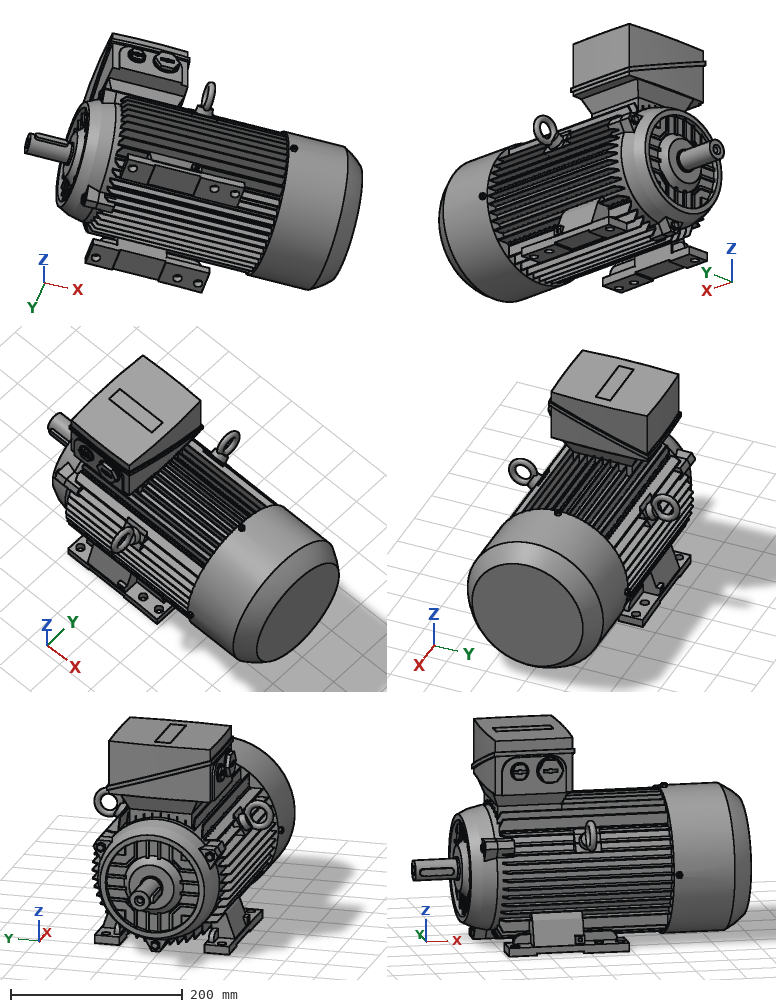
import cadquery as cq
import math


SHAFT_RADIUS = 12.0
SHAFT_LENGTH = 50.0
SHOULDER_RADIUS = 13.5
KEY_START = 4.5
KEY_LENGTH = 40.2
KEY_WIDTH = 8.0
KEY_TOP = 15.0
CENTRE_HOLE_RADIUS = 3.5
CENTRE_HOLE_DEPTH = 15.5
CENTRE_SINK_RADIUS = 5.8

BOSS_START = 52.2
BOSS_RADIUS = 27.0
SHIELD_START = 55.0
SHIELD_FRONT_RADIUS = 63.0
SHIELD_EDGE = 67.7
SHIELD_EDGE_RADIUS = 69.3
SHIELD_END = 84.5
RECESS_RADIUS = 56.5
RECESS_FLOOR = 61.5
BOSS_FOOT_RADIUS = 35.5
BOSS_FLARE_X = 57.3
BOSS_FLARE_RADIUS = 31.0
WEB_WIDTH = 3.0
WEB_HEIGHT = 2.5
WEB_START = 33.0
WEB_END = 58.0
INNER_WEB_OFFSET = 7.0
OUTER_WEB_OFFSET = 21.3
WEB_CORNER = 33.0
CORNER_BLOCK_INNER = 34.0
CORNER_BLOCK_OUTER = 45.5

LUG_ANGLES = (30, 150, 270)
LUG_START = 70.0
LUG_END = 104.5
LUG_ROOT_RADIUS = 64.0
LUG_TIP_RADIUS = 84.5
LUG_TIP_WIDTH = 9.3
LUG_FLANK_ANGLE = 30
LUG_SCREW_RADIUS = 76.2
LUG_SCREW_SIZE = 11.5
LUG_SCREW_HEIGHT = 3.5
LUG_SCREW_CHAMFER = 1.5

FRAME_RADIUS = 73.0
FRAME_END = 291.8
FIN_START = 91.0
FIN_RADIUS = 84.0
FIN_BEVEL_RADIUS = 77.0
FIN_BEVEL_END = 95.5
FIN_PITCH = 10.0
FINS_PER_HALF = 5
FIN_THICKNESS = 1.0

FOOT_BOTTOM = -89.8
FOOT_TOP = -79.7
FOOT_RELIEF = 2.5
FOOT_START = 96.8
FOOT_END = 239.0
FOOT_INNER = 51.5
FOOT_OUTER = 81.3
FOOT_OUTER_REAR = 82.0
FOOT_TAPER_START = 206.5
RELIEF_START = 129.5
RELIEF_END = 185.8
BLOCK_START = 126.5
BLOCK_END = 186.5
BLOCK_BASE_OUTER = 80.0
BLOCK_SHOULDER_OUTER = 69.5
BLOCK_SHOULDER_Z = -50.5
BLOCK_TOP_OUTER = 63.0
BLOCK_TOP_Z = -41.5
FOOT_RIB_START = 106.5
FOOT_RIB_END = 229.5
FOOT_RIB_INNER = 53.8
FOOT_RIB_WIDTH = 6.0
FOOT_RIB_HEIGHT = 11.0
FOOT_RIB_ROUND = 9.3
BOLT_HOLE_RADIUS = 5.0
BOLT_HOLE_X = (106.0, 206.0, 231.0)
BOLT_HOLE_Y = 70.0
EARTH_BOSS_LENGTH = 11.0
EARTH_BOSS_TOP = -69.0
EARTH_BOSS_BOTTOM = -78.0
EARTH_HOLE_RADIUS = 2.5
EARTH_HOLE_DEPTH = 2.0

EYE_ANGLES = (30, 150)
EYE_X = 192.0
EYE_PAD_LENGTH = 30.5
EYE_PAD_INNER = 64.2
EYE_PAD_OUTER = 79.0
EYE_PAD_BOTTOM = 30.0
EYE_PAD_TOP = 55.5
EYE_SEAT_RADIUS = 83.2
EYE_COLLAR_RADIUS = 10.5
EYE_COLLAR_TOP_RADIUS = 9.3
EYE_COLLAR_HEIGHT = 8.5
EYE_CENTRE_RADIUS = 104.5
EYE_RING_RADIUS = 14.0
EYE_WIRE_RADIUS = 4.0

COVER_RADIUS = 86.3
COVER_BEND_START = 364.0
COVER_END = 387.0
COVER_END_RADIUS = 70.5
COVER_SHOULDER_X = 376.0
COVER_SHOULDER_RADIUS = 79.5
COVER_SCREW_ANGLES = (0, 90, 180)
COVER_SCREW_X = 297.5
COVER_SCREW_SIZE = 7.7
COVER_SCREW_TOP = 90.5
COVER_SCREW_HOLE_RADIUS = 2.0
COVER_SCREW_CHAMFER = 1.0

SEAT_START = 91.7
SEAT_END = 168.0
SEAT_HALF_WIDTH = 37.5
SEAT_TOP = 80.5
NECK_START = 84.5
NECK_END = 177.0
NECK_HALF_WIDTH = 46.5
BOX_BOTTOM = 99.5
BOX_TOP = 164.0
BOX_CENTRE_X = 130.0
BOX_CENTRE_Y = -0.8
BOX_HALF_LENGTH = 48.5
BOX_HALF_WIDTH = 62.5
BOX_END_BULGE = 2.5
BOX_SIDE_BULGE = 1.0
LIP_OVERHANG = 2.0
LIP_HEIGHT = 5.0
LIP_LOW_Z = 104.0
LIP_HIGH_Z = 146.0
PAD_FACE_Y = -65.0
PAD_TOP = 144.0
PAD_CORNER_RADIUS = 17.5
PLUG_Z = 127.5
PLUG_FLANGE_HEIGHT = 1.5
PLUG_FLANGE_MARGIN = 0.5
PLUGS = ((112.2, 20.0, -69.3), (148.2, 30.0, -71.2))
SLOT_LENGTH = 16.3
SLOT_WIDTH = 3.0
SLOT_DEPTH = 1.0
SLOT_HUB_RADIUS = 2.7
PLATE_X = 130.0
PLATE_Y = -1.0
PLATE_LENGTH = 68.0
PLATE_WIDTH = 18.5
PLATE_DEPTH = 0.5


def revolved(profile):
    """Solid of revolution about the X axis from (x, radius) points."""
    return cq.Workplane("XY").polyline(profile).close().revolve(360, (0, 0, 0), (1, 0, 0))


def block(x_range, y_range, z_range):
    """Rectangular block between the given limits."""
    size = [high - low for low, high in (x_range, y_range, z_range)]
    corner = (x_range[0], y_range[0], z_range[0])
    return cq.Workplane("XY").box(*size, centered=False).translate(corner)


def across_x(start, end, outline):
    """Prism along X from a closed (y, z) outline."""
    return cq.Workplane("YZ").workplane(offset=start).polyline(outline).close().extrude(end - start)


def turned(shape, angle):
    """Shape turned about the motor axis, where the +Y direction is 0 degrees."""
    return shape.rotate((0, 0, 0), (1, 0, 0), angle)


def mirrored_pair(shape):
    """The shape together with its mirror image on the other side of Y = 0."""
    return shape.union(shape.mirror("XZ"))


def make_shaft():
    shaft = revolved([
        (0, 0),
        (0, SHAFT_RADIUS),
        (SHAFT_LENGTH, SHAFT_RADIUS),
        (SHAFT_LENGTH, SHOULDER_RADIUS),
        (SHIELD_END, SHOULDER_RADIUS),
        (SHIELD_END, 0),
    ])
    key = (
        cq.Workplane("XZ")
        .center(KEY_START + KEY_LENGTH / 2, 0)
        .slot2D(KEY_LENGTH, KEY_WIDTH)
        .extrude(KEY_TOP)
    )
    sink_depth = CENTRE_SINK_RADIUS - CENTRE_HOLE_RADIUS
    centre_hole = revolved([
        (0, 0),
        (0, CENTRE_SINK_RADIUS),
        (sink_depth, CENTRE_HOLE_RADIUS),
        (CENTRE_HOLE_DEPTH, CENTRE_HOLE_RADIUS),
        (CENTRE_HOLE_DEPTH, 0),
    ])
    return shaft.union(key).cut(centre_hole)


def make_lugs(start, end):
    """Three tapered lugs around the rim, from start to end along X."""
    tip = LUG_TIP_WIDTH / 2
    root = tip + (LUG_TIP_RADIUS - LUG_ROOT_RADIUS) * math.tan(math.radians(LUG_FLANK_ANGLE))
    lug = across_x(start, end, [
        (LUG_ROOT_RADIUS, -root),
        (LUG_TIP_RADIUS, -tip),
        (LUG_TIP_RADIUS, tip),
        (LUG_ROOT_RADIUS, root),
    ])
    lugs = cq.Workplane("XY")
    for angle in LUG_ANGLES:
        lugs = lugs.union(turned(lug, angle))
    return lugs


def make_lug_screws():
    head = (
        cq.Workplane("YZ", origin=(LUG_START, LUG_SCREW_RADIUS, 0))
        .polygon(6, LUG_SCREW_SIZE)
        .extrude(-LUG_SCREW_HEIGHT)
        .faces("<X")
        .chamfer(LUG_SCREW_CHAMFER)
    )
    heads = cq.Workplane("XY")
    for angle in LUG_ANGLES:
        heads = heads.union(turned(head, angle))
    return heads


def make_shield_webs():
    """Webs in the front recess: straight pairs and angled corner webs in each quarter."""
    floor = cq.Workplane("YZ", origin=(RECESS_FLOOR, 0, 0))
    inner_webs = (
        floor
        .pushPoints([
            ((WEB_START + WEB_END) / 2, INNER_WEB_OFFSET),
            ((WEB_START + WEB_END) / 2, -INNER_WEB_OFFSET),
        ])
        .rect(WEB_END - WEB_START, WEB_WIDTH)
        .extrude(-WEB_HEIGHT)
    )
    corner_web = (
        floor
        .moveTo(WEB_END, OUTER_WEB_OFFSET)
        .lineTo(WEB_CORNER, OUTER_WEB_OFFSET)
        .lineTo(OUTER_WEB_OFFSET, WEB_CORNER)
        .lineTo(OUTER_WEB_OFFSET, WEB_END)
        .offset2D(WEB_WIDTH / 2)
        .extrude(-WEB_HEIGHT)
    )
    corner_middle = (CORNER_BLOCK_INNER + CORNER_BLOCK_OUTER) / 2
    corner_size = CORNER_BLOCK_OUTER - CORNER_BLOCK_INNER
    corner_block = (
        floor
        .center(corner_middle, corner_middle)
        .rect(corner_size, corner_size)
        .extrude(-WEB_HEIGHT)
    )
    quarter = inner_webs.union(corner_web).union(corner_block)
    webs = cq.Workplane("XY")
    for angle in (0, 90, 180, 270):
        webs = webs.union(turned(quarter, angle))
    return webs


def make_shield():
    """Dished ring around a flared bearing boss, bored for the shaft shoulder."""
    shield = (
        cq.Workplane("XY")
        .moveTo(SHIELD_END, SHOULDER_RADIUS)
        .lineTo(BOSS_START, SHOULDER_RADIUS)
        .lineTo(BOSS_START, BOSS_RADIUS)
        .threePointArc((BOSS_FLARE_X, BOSS_FLARE_RADIUS), (RECESS_FLOOR, BOSS_FOOT_RADIUS))
        .lineTo(RECESS_FLOOR, RECESS_RADIUS)
        .lineTo(SHIELD_START, RECESS_RADIUS)
        .lineTo(SHIELD_START, SHIELD_FRONT_RADIUS)
        .lineTo(SHIELD_EDGE, SHIELD_EDGE_RADIUS)
        .lineTo(SHIELD_END, FRAME_RADIUS)
        .close()
        .revolve(360, (0, 0, 0), (1, 0, 0))
    )
    lugs = make_lugs(LUG_START, SHIELD_END)
    return shield.union(make_shield_webs()).union(lugs).union(make_lug_screws())


def make_fins():
    """Parallel cooling fins: upright above and below, level on both sides."""
    envelope = revolved([
        (FIN_START, 0),
        (FIN_START, FIN_BEVEL_RADIUS),
        (FIN_BEVEL_END, FIN_RADIUS),
        (FRAME_END, FIN_RADIUS),
        (FRAME_END, 0),
    ])
    plates = cq.Workplane("XY")
    for index in range(-FINS_PER_HALF, FINS_PER_HALF + 1):
        middle = index * FIN_PITCH
        fin = block(
            (FIN_START, FRAME_END),
            (middle - FIN_THICKNESS / 2, middle + FIN_THICKNESS / 2),
            (-FIN_RADIUS, FIN_RADIUS),
        )
        plates = plates.union(fin).union(turned(fin, 90))
    return plates.intersect(envelope)


def make_foot_rib():
    """Low stiffening rib with rounded ends along the inner side of a foot."""
    height = FOOT_RIB_HEIGHT + (FOOT_TOP - FOOT_BOTTOM) / 2
    rib = block(
        (FOOT_RIB_START, FOOT_RIB_END),
        (FOOT_RIB_INNER, FOOT_RIB_INNER + FOOT_RIB_WIDTH),
        (FOOT_TOP + FOOT_RIB_HEIGHT - height, FOOT_TOP + FOOT_RIB_HEIGHT),
    )
    return rib.faces(">Z").edges("|Y").fillet(FOOT_RIB_ROUND)


def make_foot():
    """The foot on the +Y side."""
    plate = (
        cq.Workplane("XY")
        .workplane(offset=FOOT_BOTTOM)
        .polyline([
            (FOOT_START, FOOT_INNER),
            (FOOT_END, FOOT_INNER),
            (FOOT_END, FOOT_OUTER_REAR),
            (FOOT_TAPER_START, FOOT_OUTER),
            (FOOT_START, FOOT_OUTER),
        ])
        .close()
        .extrude(FOOT_TOP - FOOT_BOTTOM)
    )
    relief = block(
        (RELIEF_START, RELIEF_END),
        (FOOT_INNER, FOOT_OUTER),
        (FOOT_BOTTOM, FOOT_BOTTOM + FOOT_RELIEF),
    )
    support = across_x(BLOCK_START, BLOCK_END, [
        (FOOT_INNER, FOOT_TOP),
        (BLOCK_BASE_OUTER, FOOT_TOP),
        (BLOCK_SHOULDER_OUTER, BLOCK_SHOULDER_Z),
        (BLOCK_TOP_OUTER, BLOCK_TOP_Z),
        (FOOT_INNER, BLOCK_TOP_Z),
    ])
    earth_boss = block(
        (BLOCK_END - EARTH_BOSS_LENGTH, BLOCK_END),
        (BLOCK_SHOULDER_OUTER, FOOT_OUTER),
        (EARTH_BOSS_BOTTOM, EARTH_BOSS_TOP),
    )
    earth_hole = (
        cq.Workplane("XZ", origin=(
            BLOCK_END - EARTH_BOSS_LENGTH / 2,
            FOOT_OUTER,
            (EARTH_BOSS_BOTTOM + EARTH_BOSS_TOP) / 2,
        ))
        .circle(EARTH_HOLE_RADIUS)
        .extrude(EARTH_HOLE_DEPTH)
    )
    bolt_holes = (
        cq.Workplane("XY")
        .workplane(offset=FOOT_BOTTOM)
        .pushPoints([(x, BOLT_HOLE_Y) for x in BOLT_HOLE_X])
        .circle(BOLT_HOLE_RADIUS)
        .extrude(FOOT_TOP - FOOT_BOTTOM)
    )
    foot = plate.cut(relief).cut(bolt_holes).union(support).union(make_foot_rib())
    return foot.union(earth_boss).cut(earth_hole)


def make_eye_pad():
    """Pad on the +Y side with a sloping seat for the lifting eye."""
    return across_x(EYE_X - EYE_PAD_LENGTH / 2, EYE_X + EYE_PAD_LENGTH / 2, [
        (EYE_PAD_INNER, EYE_PAD_BOTTOM),
        (EYE_PAD_OUTER, EYE_PAD_BOTTOM),
        (EYE_PAD_INNER, EYE_PAD_TOP),
    ])


def make_lifting_eye():
    """Collar and ring pointing along +Y, before turning into place."""
    collar = cq.Workplane(cq.Solid.makeCone(
        EYE_COLLAR_RADIUS,
        EYE_COLLAR_TOP_RADIUS,
        EYE_COLLAR_HEIGHT,
        cq.Vector(EYE_X, EYE_SEAT_RADIUS, 0),
        cq.Vector(0, 1, 0),
    ))
    ring = cq.Workplane(cq.Solid.makeTorus(
        EYE_RING_RADIUS,
        EYE_WIRE_RADIUS,
        cq.Vector(EYE_X, EYE_CENTRE_RADIUS, 0),
        cq.Vector(1, 0, 0),
    ))
    return collar.union(ring)


def make_frame():
    core = revolved([
        (SHIELD_END, 0),
        (SHIELD_END, FRAME_RADIUS),
        (FRAME_END, FRAME_RADIUS),
        (FRAME_END, 0),
    ])
    seat = block(
        (SEAT_START, SEAT_END),
        (-SEAT_HALF_WIDTH, SEAT_HALF_WIDTH),
        (0, SEAT_TOP),
    )
    frame = core.union(make_fins()).cut(make_box_neck()).union(seat)
    frame = frame.union(make_lugs(SHIELD_END, LUG_END)).union(mirrored_pair(make_foot()))
    frame = frame.union(mirrored_pair(make_eye_pad()))
    for angle in EYE_ANGLES:
        frame = frame.union(turned(make_lifting_eye(), angle))
    return frame


def make_cover():
    cover = (
        cq.Workplane("XY")
        .moveTo(FRAME_END, 0)
        .lineTo(FRAME_END, COVER_RADIUS)
        .lineTo(COVER_BEND_START, COVER_RADIUS)
        .threePointArc((COVER_SHOULDER_X, COVER_SHOULDER_RADIUS), (COVER_END, COVER_END_RADIUS))
        .lineTo(COVER_END, 0)
        .close()
        .revolve(360, (0, 0, 0), (1, 0, 0))
    )
    screw = (
        cq.Workplane("XZ", origin=(COVER_SCREW_X, COVER_SCREW_TOP, 0))
        .polygon(6, COVER_SCREW_SIZE)
        .circle(COVER_SCREW_HOLE_RADIUS)
        .extrude(2 * (COVER_SCREW_TOP - COVER_RADIUS))
        .faces(">Y")
        .edges("not %CIRCLE")
        .chamfer(COVER_SCREW_CHAMFER)
    )
    for angle in COVER_SCREW_ANGLES:
        cover = cover.union(turned(screw, angle))
    return cover


def make_box_neck():
    """Flared neck between the frame seat and the box."""
    return (
        cq.Workplane("XY")
        .workplane(offset=SEAT_TOP)
        .center((SEAT_START + SEAT_END) / 2, 0)
        .rect(SEAT_END - SEAT_START, 2 * SEAT_HALF_WIDTH)
        .workplane(offset=BOX_BOTTOM - SEAT_TOP)
        .center((NECK_START + NECK_END - SEAT_START - SEAT_END) / 2, 0)
        .rect(NECK_END - NECK_START, 2 * NECK_HALF_WIDTH)
        .loft(ruled=True)
    )


def box_outline(overhang):
    """Rectangle with slightly bulged sides, enlarged all round by the overhang."""
    length = BOX_HALF_LENGTH + overhang
    width = BOX_HALF_WIDTH + overhang
    corner_x = length - BOX_END_BULGE
    corner_y = width - BOX_SIDE_BULGE
    return (
        cq.Workplane("XY", origin=(BOX_CENTRE_X, BOX_CENTRE_Y, BOX_BOTTOM))
        .moveTo(-corner_x, -corner_y)
        .threePointArc((0, -width), (corner_x, -corner_y))
        .threePointArc((length, 0), (corner_x, corner_y))
        .threePointArc((0, width), (-corner_x, corner_y))
        .threePointArc((-length, 0), (-corner_x, -corner_y))
        .close()
    )


def make_lip():
    """Sloping rim where the lid meets the lower half of the box."""
    low_y = BOX_CENTRE_Y + BOX_HALF_WIDTH
    high_y = BOX_CENTRE_Y - BOX_HALF_WIDTH
    slope = (LIP_HIGH_Z - LIP_LOW_Z) / (high_y - low_y)
    low_end = (low_y + LIP_OVERHANG, LIP_LOW_Z + slope * LIP_OVERHANG)
    high_end = (high_y - LIP_OVERHANG, LIP_HIGH_Z - slope * LIP_OVERHANG)
    reach = BOX_HALF_LENGTH + LIP_OVERHANG
    layer = across_x(BOX_CENTRE_X - reach, BOX_CENTRE_X + reach, [
        low_end,
        high_end,
        (high_end[0], high_end[1] + LIP_HEIGHT),
        (low_end[0], low_end[1] + LIP_HEIGHT),
    ])
    return box_outline(LIP_OVERHANG).extrude(BOX_TOP - BOX_BOTTOM).intersect(layer)


def make_gland_pad():
    """Flat arched pad that carries the cable entry plugs."""
    pad = block((SEAT_START, SEAT_END), (PAD_FACE_Y, BOX_CENTRE_Y), (BOX_BOTTOM, PAD_TOP))
    return pad.faces(">Z").edges("|Y").fillet(PAD_CORNER_RADIUS)


def make_plug(x, size, top_y):
    """Hexagon plug on a round flange with a screwdriver slot."""
    flange_y = PAD_FACE_Y - PLUG_FLANGE_HEIGHT
    flange = (
        cq.Workplane("XZ", origin=(x, PAD_FACE_Y, PLUG_Z))
        .circle(size / 2 + PLUG_FLANGE_MARGIN)
        .extrude(PLUG_FLANGE_HEIGHT)
    )
    head = (
        cq.Workplane("XZ", origin=(x, flange_y, PLUG_Z))
        .polygon(6, size)
        .extrude(flange_y - top_y)
    )
    recess_plane = cq.Workplane("XZ", origin=(x, top_y, PLUG_Z))
    slot = recess_plane.rect(SLOT_LENGTH, SLOT_WIDTH).extrude(-SLOT_DEPTH)
    hub = recess_plane.circle(SLOT_HUB_RADIUS).extrude(-SLOT_DEPTH)
    return flange.union(head).cut(slot).cut(hub)


def make_terminal_box():
    box = box_outline(0).extrude(BOX_TOP - BOX_BOTTOM)
    name_plate = (
        cq.Workplane("XY", origin=(PLATE_X, PLATE_Y, BOX_TOP))
        .rect(PLATE_LENGTH, PLATE_WIDTH)
        .extrude(-PLATE_DEPTH)
    )
    box = box.cut(name_plate).union(make_box_neck()).union(make_lip()).union(make_gland_pad())
    for x, size, top_y in PLUGS:
        box = box.union(make_plug(x, size, top_y))
    return box


shaft = make_shaft()
end_shield = make_shield()
frame = make_frame()
fan_cover = make_cover()
terminal_box = make_terminal_box()

result = cq.Compound.makeCompound([
    shaft.val(),
    end_shield.val(),
    frame.val(),
    fan_cover.val(),
    terminal_box.val(),
])